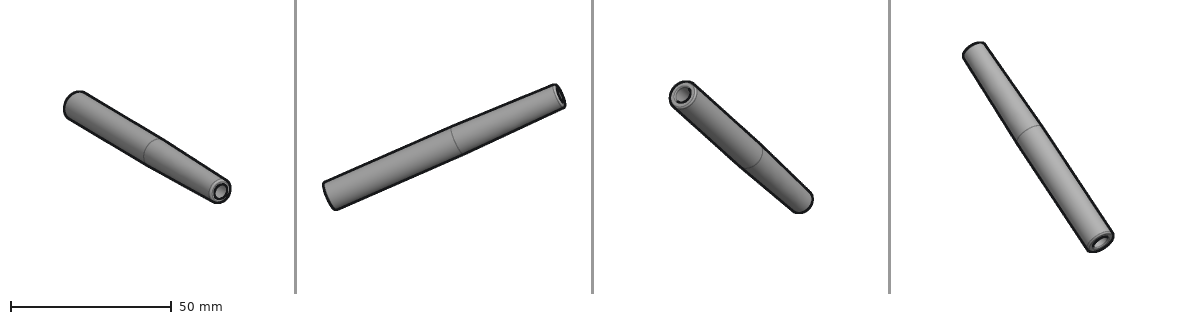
import cadquery as cq

length = 80.0
shank_diameter = 9.5
shank_length = 44.4
tip_diameter = 7.9

counterbore_diameter = 5.2
bore_diameter = 4.8
counterbore_depth = shank_length
counterbore_run_out = 0.4

shank_rounding = 0.6
tip_rounding = 0.7
mouth_rounding = 0.4


def make_body():
    """Revolve the cylindrical shank and tapered nose around the X axis."""
    profile = (
        cq.Workplane("XY")
        .lineTo(0, shank_diameter / 2)
        .lineTo(shank_length, shank_diameter / 2)
        .lineTo(length, tip_diameter / 2)
        .lineTo(length, 0)
        .close()
    )
    body = profile.revolve(360, (0, 0, 0), (1, 0, 0))
    body = body.faces("<X").edges().fillet(shank_rounding)
    return body.faces(">X").edges().fillet(tip_rounding)


def make_bore():
    """Stepped through hole along X, widest at the shank end."""
    profile = (
        cq.Workplane("XY")
        .lineTo(0, counterbore_diameter / 2)
        .lineTo(counterbore_depth, counterbore_diameter / 2)
        .lineTo(counterbore_depth + counterbore_run_out, bore_diameter / 2)
        .lineTo(length, bore_diameter / 2)
        .lineTo(length, 0)
        .close()
    )
    return profile.revolve(360, (0, 0, 0), (1, 0, 0))


bored_body = make_body().cut(make_bore())

result = bored_body.faces("<X").edges(cq.selectors.RadiusNthSelector(0)).fillet(mouth_rounding)